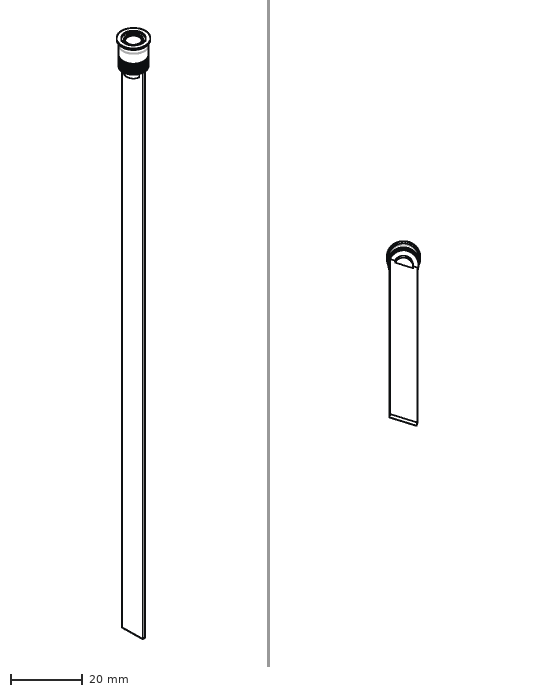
import cadquery as cq

total_height = 209.5
top_z = total_height / 2

cap_height = 9.7
cap_radius = 4.25
flange_radius = 4.75
flange_thickness = 0.5
collar_radius = 4.3
collar_height = 1.95
collar_taper = 0.4
mouth_radius = 3.45
mouth_depth = 0.5

groove_count = 5
groove_start = 5.75
groove_pitch = 0.8
groove_width = 0.5
groove_depth = 0.1

plug_radius = 2.7
plug_bottom_depth = 12.2
plug_recess_radius = 2.4
plug_recess_depth = 0.5

strip_width = 8.0
strip_thickness = 1.0
strip_length = total_height - cap_height


def cylinder(radius, depth, height):
    """Upright cylinder whose top lies the given depth below the top of the part."""
    return cq.Workplane("XY", origin=(0, 0, top_z - depth - height)).circle(radius).extrude(height)


def make_strip():
    return (
        cq.Workplane("XY", origin=(0, 0, top_z - total_height))
        .rect(strip_width, strip_thickness)
        .extrude(strip_length)
    )


def make_plug(strip):
    plug = cylinder(plug_radius, mouth_depth, plug_bottom_depth - mouth_depth)
    plug = plug.cut(cylinder(plug_recess_radius, mouth_depth, plug_recess_depth))
    return plug.cut(strip)


def groove_profile(depth):
    """Points of one groove, from its upper rim to its lower rim."""
    floor_radius = cap_radius - groove_depth
    return [
        (cap_radius, -depth),
        (floor_radius, -depth - groove_depth),
        (floor_radius, -depth - groove_width + groove_depth),
        (cap_radius, -depth - groove_width),
    ]


def make_cap():
    collar_top = flange_thickness + flange_radius - collar_radius
    outline = [
        (plug_radius, -mouth_depth),
        (mouth_radius, -mouth_depth),
        (mouth_radius, 0),
        (flange_radius, 0),
        (flange_radius, -flange_thickness),
        (collar_radius, -collar_top),
        (collar_radius, -collar_height),
        (cap_radius, -collar_height - collar_taper),
    ]
    for i in range(groove_count):
        outline += groove_profile(groove_start + i * groove_pitch)
    outline += [(cap_radius, -cap_height), (plug_radius, -cap_height)]
    profile = cq.Workplane("XZ", origin=(0, 0, top_z)).polyline(outline).close()
    return profile.revolve(360, (0, 0), (0, 1))


strip = make_strip()
plug = make_plug(strip)
cap = make_cap()

result = cq.Compound.makeCompound([cap.val(), plug.val(), strip.val()])